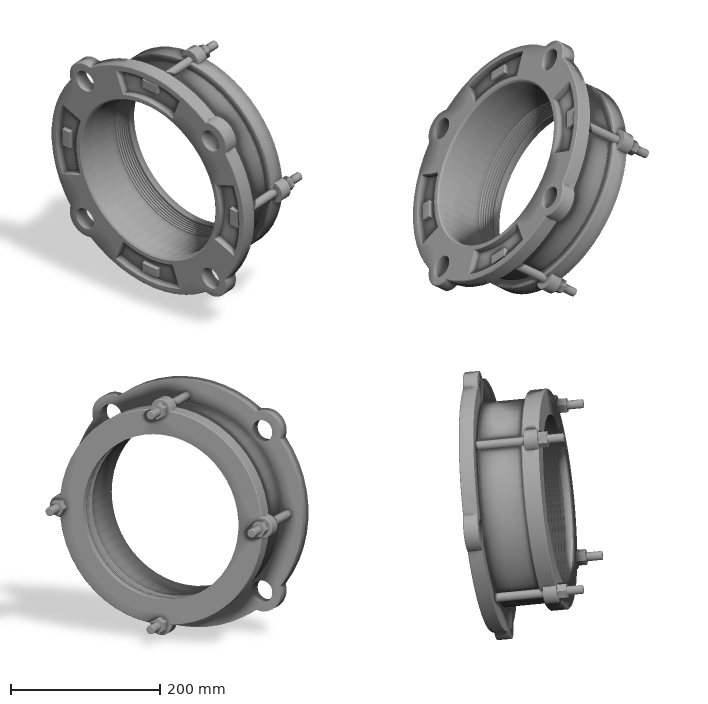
import cadquery as cq
import math

flange_thickness = 20.0
gland_front = 81.3
lug_front = 86.7
gland_back = 104.7
nut_height = 12.5
stud_tip = 139.0

flange_diameter = 340.0
rim_chamfer = 1.0
ear_circle_radius = 156.0
ear_diameter = 55.0
ear_hole_diameter = 30.0
ear_hole_chamfer = 0.7

panel_inner_radius = 125.5
panel_outer_radius = 161.0
panel_angle = 40.8
panel_depth = 10.2
panel_outer_draft = 1.0
block_length = 26.5
block_width = 13.5
block_height = 6.0
block_radius = 147.2
block_draft_angle = 5

sleeve_diameter = 275.0
sleeve_end_chamfer = 1.7
sleeve_root_height = 1.5
sleeve_root_width = 0.7
bore_diameter = 235.0
bore_chamfer = 2.0
gland_diameter = 296.5
gland_bore_diameter = 227.0
gland_chamfer = 1.0
gland_mouth_diameter = 287.0
gland_mouth_depth = 1.7

rib_diameter = 231.0
rib_count = 6
rib_pitch = 4.0
rib_width = 2.0
ribs_start = 70.7

stud_circle_radius = 147.5
stud_diameter = 12.0
stud_tip_diameter = 10.2
lug_diameter = 30.0
nut_across_flats = 18.5

axis_angles = [0, 90, 180, 270]
diagonal_angles = [45, 135, 225, 315]


def disc(diameter, start, end, x=0.0):
    """A cylinder along +Y between two axial stations."""
    return cq.Workplane("XZ", origin=(x, start, 0)).circle(diameter / 2).extrude(start - end)


def countersink(diameter, chamfer, x=0.0):
    """The cone that breaks the edge of a hole in the flange front face."""
    radius = diameter / 2
    cone = cq.Solid.makeCone(radius + chamfer, radius, chamfer, cq.Vector(x, 0, 0), cq.Vector(0, 1, 0))
    return cq.Workplane(cone)


def turn(shape, degrees):
    """Turn a shape about the main axis."""
    return shape.rotate((0, 0, 0), (0, 1, 0), degrees)


def make_panel():
    """Ring-sector recess centred on +X, less the tapered block left standing in it."""
    panel = (
        cq.Workplane("XY")
        .polyline([
            (panel_inner_radius, 0),
            (panel_outer_radius, 0),
            (panel_outer_radius - panel_outer_draft, panel_depth),
            (panel_inner_radius, panel_depth),
        ])
        .close()
        .revolve(panel_angle, (0, 0), (0, 1))
    )
    block = (
        cq.Workplane("XZ", origin=(block_radius, panel_depth, 0))
        .rect(block_width, block_length)
        .extrude(block_height, taper=block_draft_angle)
    )
    return turn(panel, -panel_angle / 2).cut(block)


def make_flange():
    """Round flange with chamfered rim, ears on the diagonals and panels on the axes."""
    flange = disc(flange_diameter, 0, flange_thickness).faces("<Y").chamfer(rim_chamfer)
    ear = disc(ear_diameter, 0, flange_thickness, ear_circle_radius).faces("<Y").chamfer(rim_chamfer)
    hole = disc(ear_hole_diameter, 0, flange_thickness, ear_circle_radius)
    hole = hole.union(countersink(ear_hole_diameter, ear_hole_chamfer, ear_circle_radius))
    for angle in diagonal_angles:
        flange = flange.union(turn(ear, angle))
    for angle in diagonal_angles:
        flange = flange.cut(turn(hole, angle))
    for angle in axis_angles:
        flange = flange.cut(turn(make_panel(), angle))
    return flange


def make_sleeve():
    """Solid sleeve, flared at the flange and chamfered at the end that enters the gland."""
    radius = sleeve_diameter / 2
    end = gland_front + gland_mouth_depth
    return (
        cq.Workplane("XY")
        .polyline([
            (0, flange_thickness),
            (radius + sleeve_root_width, flange_thickness),
            (radius, flange_thickness + sleeve_root_height),
            (radius, gland_front - sleeve_end_chamfer),
            (radius - sleeve_end_chamfer, gland_front),
            (radius - sleeve_end_chamfer, end),
            (0, end),
        ])
        .close()
        .revolve(360, (0, 0), (0, 1))
    )


def make_gland():
    """Ring with a shallow mouth in front and one lug for each stud."""
    gland = disc(gland_diameter, gland_front, gland_back).edges().chamfer(gland_chamfer)
    lug = disc(lug_diameter, lug_front, gland_back, stud_circle_radius).faces(">Y").chamfer(gland_chamfer)
    for angle in axis_angles:
        gland = gland.union(turn(lug, angle))
    return gland.cut(disc(gland_mouth_diameter, gland_front, gland_front + gland_mouth_depth))


def make_bore():
    """Stepped through bore, less the sealing ribs that stand in its wider part."""
    ribs_end = ribs_start + rib_count * rib_pitch
    bore = disc(bore_diameter, 0, ribs_end).union(disc(gland_bore_diameter, 0, gland_back))
    bore = bore.union(countersink(bore_diameter, bore_chamfer))
    for i in range(rib_count):
        start = ribs_start + i * rib_pitch
        end = start + rib_width
        bore = bore.cut(disc(bore_diameter, start, end).cut(disc(rib_diameter, start, end)))
    return bore


def make_housing():
    """Flange, sleeve and gland in one piece, bored through and drilled for the studs."""
    housing = make_flange().union(make_sleeve()).union(make_gland()).cut(make_bore())
    stud_hole = disc(stud_diameter, flange_thickness, gland_back, stud_circle_radius)
    for angle in axis_angles:
        housing = housing.cut(turn(stud_hole, angle))
    return housing


def make_stud():
    """Stud on the +X axis with its hexagon nut against the gland lug."""
    tip_chamfer = (stud_diameter - stud_tip_diameter) / 2
    shank = disc(stud_diameter, flange_thickness, stud_tip, stud_circle_radius).faces(">Y").chamfer(tip_chamfer)
    nut = (
        cq.Workplane("XZ", origin=(stud_circle_radius, gland_back, 0))
        .polygon(6, nut_across_flats / math.cos(math.pi / 6))
        .extrude(-nut_height)
    )
    return shank.union(nut)


housing = make_housing()
studs = [turn(make_stud(), angle).val() for angle in axis_angles]
result = cq.Compound.makeCompound([housing.val(), *studs])